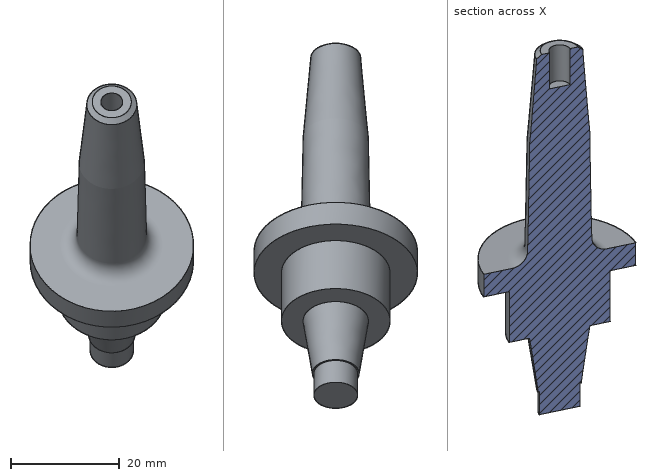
import cadquery as cq
import math

pin_radius = 8.0 / 2
nose_bottom_radius = 4.3
nose_top_radius = 6.0
collar_radius = 20.0 / 2
flange_radius = 30.0 / 2
stem_bottom_radius = 6.4
stem_top_radius = 6.0
tip_radius = 4.6
tip_chamfer_width = 1.0
tip_hole_radius = 4.0 / 2

total_length = 78.0
pin_length = 5.0
nose_length = 12.0
collar_length = 11.0
flange_thickness = 5.0
fillet_radius = 3.0
stem_top = 58.9
tip_chamfer_height = 0.8
tip_hole_depth = 7.8

nose_top = pin_length + nose_length
flange_bottom = nose_top + collar_length
flange_top = flange_bottom + flange_thickness
stem_bottom = flange_top + fillet_radius

fillet_center_radius = stem_bottom_radius + fillet_radius
fillet_mid_offset = fillet_radius * math.sqrt(0.5)
fillet_mid = (fillet_center_radius - fillet_mid_offset, stem_bottom - fillet_mid_offset)


def make_body():
    """Revolve the half outline (radius, height) around the Z axis."""
    outline = (
        cq.Workplane("XZ")
        .lineTo(pin_radius, 0)
        .lineTo(pin_radius, pin_length)
        .lineTo(nose_bottom_radius, pin_length)
        .lineTo(nose_top_radius, nose_top)
        .lineTo(collar_radius, nose_top)
        .lineTo(collar_radius, flange_bottom)
        .lineTo(flange_radius, flange_bottom)
        .lineTo(flange_radius, flange_top)
        .lineTo(fillet_center_radius, flange_top)
        .threePointArc(fillet_mid, (stem_bottom_radius, stem_bottom))
        .lineTo(stem_top_radius, stem_top)
        .lineTo(tip_radius, total_length - tip_chamfer_height)
        .lineTo(tip_radius - tip_chamfer_width, total_length)
        .lineTo(0, total_length)
        .close()
    )
    return outline.revolve(360, (0, 0, 0), (0, 1, 0))


def make_tip_hole():
    """Blind hole going down from the tip."""
    hole_bottom = total_length - tip_hole_depth
    return cq.Workplane("XY").workplane(offset=hole_bottom).circle(tip_hole_radius).extrude(tip_hole_depth)


result = make_body().cut(make_tip_hole())